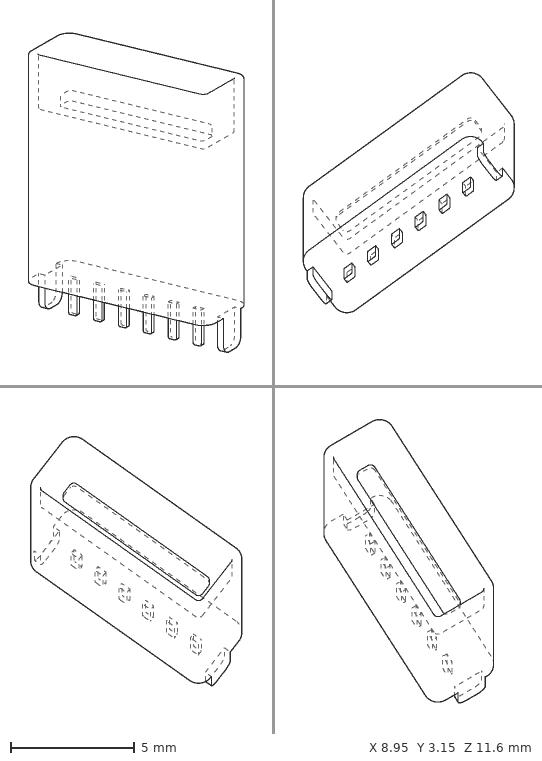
import cadquery as cq
total_height = 11.6
shell_length = 8.95
shell_width = 3.15
leg_length = 1.6
corner_radius = 0.6
rim_round = 0.1
shell_height = total_height - leg_length

wall = 0.41
socket_depth = 2.46
floor_z = total_height - socket_depth
socket_corner_radius = corner_radius - wall
floor_round = 0.1

tongue_length = 7.01
tongue_width = 0.8
tongue_height = 0.5
tongue_corner_radius = 0.2
tongue_tip_round = 0.1

pin_count = 6
pin_pitch = 1.21
pin_width = 0.41
pin_thickness = 0.2
pin_tip_round = 0.09

tab_thickness = 0.3
tab_width = 1.3
tab_offset = 0.27
tab_tip_radius = 0.41


def rounded_block(length, width, height, radius, base_z):
    """Block centred on the Z axis with rounded upright edges."""
    return (
        cq.Workplane("XY", origin=(0, 0, base_z))
        .rect(length, width)
        .extrude(height)
        .edges("|Z")
        .fillet(radius)
    )


def make_shell():
    """Rounded body with an open socket and a softened rim."""
    socket = rounded_block(
        shell_length - 2 * wall,
        shell_width - 2 * wall,
        socket_depth,
        socket_corner_radius,
        floor_z,
    )
    socket = socket.faces("<Z").edges().fillet(floor_round)
    body = rounded_block(shell_length, shell_width, shell_height, corner_radius, leg_length)
    return body.cut(socket).faces(">Z").edges().fillet(rim_round)


def make_tongue():
    """Bar rising from the socket floor, with a rounded tip."""
    tongue = rounded_block(tongue_length, tongue_width, tongue_height, tongue_corner_radius, floor_z)
    return tongue.faces(">Z").edges().fillet(tongue_tip_round)


def make_pin(x):
    """Contact pin hanging below the shell, with a rounded tip."""
    pin = cq.Workplane("XY").box(pin_width, pin_thickness, leg_length, centered=(True, True, False))
    return pin.edges("|Y and <Z").fillet(pin_tip_round).translate((x, 0, 0))


def make_tab(side):
    """Anchor tab flush with one end of the shell; side is -1 or 1."""
    tab = cq.Workplane("XY").box(tab_thickness, tab_width, leg_length, centered=(True, True, False))
    x = side * (shell_length - tab_thickness) / 2
    return tab.edges("|X and <Z").fillet(tab_tip_radius).translate((x, tab_offset, 0))


result = make_shell().union(make_tongue())
for index in range(pin_count):
    result = result.union(make_pin((index - (pin_count - 1) / 2) * pin_pitch))
for end in (-1, 1):
    result = result.union(make_tab(end))